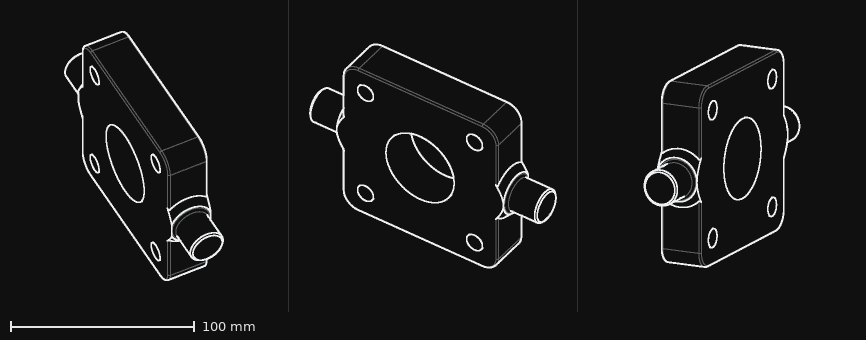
import cadquery as cq

overall_length = 150.0
plate_side = 102.0
plate_thickness = 24.0
corner_radius = 10.0
edge_fillet = 1.0

bore_diameter = 45.0
bolt_hole_diameter = 10.5
bolt_spacing = 72.0

trunnion_radius = 10.0
trunnion_length = 20.0
tip_chamfer = 1.0
root_fillet = 1.5
trunnion_offset_y = -0.5
collar_face_radius = 12.5
collar_embedding = 1.5

half_length = overall_length / 2
half_side = plate_side / 2
shoulder_x = half_length - trunnion_length
collar_start_x = half_side - collar_embedding
collar_base_radius = collar_face_radius + shoulder_x - collar_start_x


def make_plate():
    """Square plate with rounded corners and filleted front and back rims."""
    return (
        cq.Workplane("XY")
        .box(plate_side, plate_thickness, plate_side)
        .edges("|Y")
        .fillet(corner_radius)
        .faces("<Y or >Y")
        .edges()
        .fillet(edge_fillet)
    )


def make_trunnion():
    """Revolved +X trunnion and collar, trimmed to the plate thickness."""
    fillet_start_x = shoulder_x + root_fillet
    fillet_end_radius = trunnion_radius + root_fillet
    profile = (
        cq.Workplane("XY")
        .moveTo(collar_start_x, 0)
        .lineTo(collar_start_x, collar_base_radius)
        .lineTo(shoulder_x, collar_face_radius)
        .lineTo(shoulder_x, fillet_end_radius)
        .radiusArc((fillet_start_x, trunnion_radius), -root_fillet)
        .lineTo(half_length - tip_chamfer, trunnion_radius)
        .lineTo(half_length, trunnion_radius - tip_chamfer)
        .lineTo(half_length, 0)
        .close()
    )
    trunnion = profile.revolve(360, (0, 0, 0), (1, 0, 0)).translate((0, trunnion_offset_y, 0))
    thickness_limit = cq.Workplane("XY").box(overall_length, plate_thickness, plate_side)
    return trunnion.intersect(thickness_limit)


def cut_holes(body):
    """Central bore and four bolt holes along Y."""
    back_face = cq.Workplane("XZ", origin=(0, plate_thickness / 2, 0))
    bore = back_face.circle(bore_diameter / 2).extrude(plate_thickness)
    bolt_holes = (
        back_face.rect(bolt_spacing, bolt_spacing, forConstruction=True)
        .vertices()
        .circle(bolt_hole_diameter / 2)
        .extrude(plate_thickness)
    )
    return body.cut(bore).cut(bolt_holes)


right_trunnion = make_trunnion()
left_trunnion = right_trunnion.mirror("YZ")
result = cut_holes(make_plate().union(right_trunnion).union(left_trunnion))